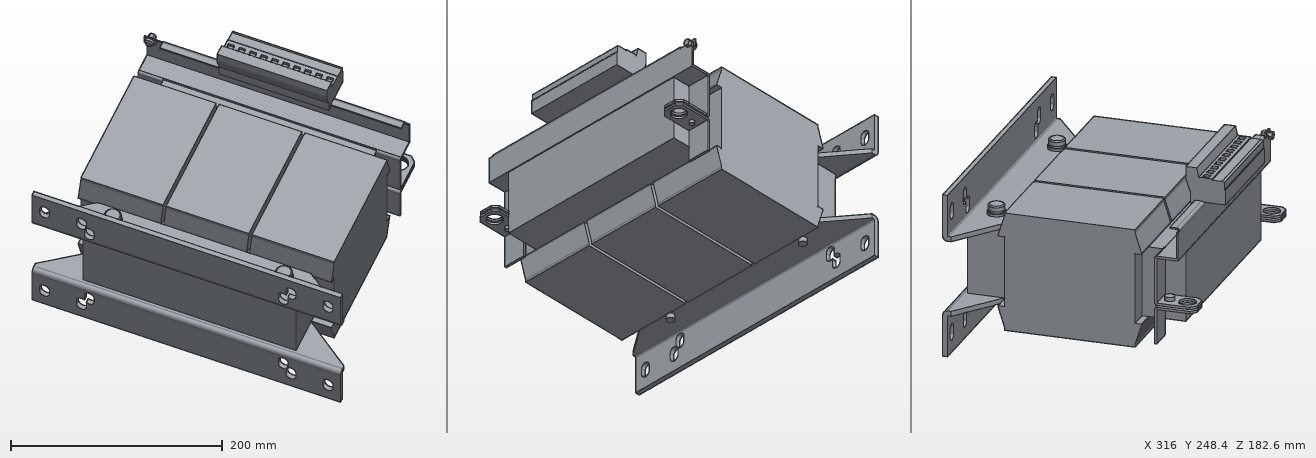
import cadquery as cq


CORE_WIDTH = 218.5
CORE_HEIGHT = 71.0
CORE_FRONT = 8.0
CORE_BACK = 226.5
CORE_TOP = CORE_HEIGHT / 2

WINDINGS_WIDTH = 259.4
WINDING_GAP = 3.2
CENTER_WINDING_WIDTH = 84.7
WINDING_HEIGHT = 119.7
WINDING_FRONT = 52.3
WINDING_BACK = 182.8
FLARE = 6.5
FLARE_EDGE = 1.2
FLARE_DROP = 2.8

BRACKET_LENGTH = 316.0
BRACKET_SPAN = 164.5
BRACKET_SHEET = 5.0
BRACKET_DEPTH = 44.8
BRACKET_TAPER_START = 8.6
BRACKET_OUTER_BEND = 5.0
BRACKET_INNER_BEND = 1.0
SLOT_WIDTH = 10.0
SLOT_LENGTH = 16.4
SLOT_CENTERS = [(145.1, 61.6), (107.2, 62.7), (99.4, 50.8)]

CLAMP_X = 87.6
CLAMP_Y = 29.8
CLAMP_WASHER_DIAMETER = 18.3
CLAMP_WASHER_HEIGHT = 2.4
CLAMP_LOCK_WASHER_DIAMETER = 15.8
CLAMP_LOCK_WASHER_HEIGHT = 2.0
CLAMP_HEAD_DIAMETER = 16.4
CLAMP_HEAD_HEIGHT = 5.6
CLAMP_HEAD_CHAMFER = 1.2
CLAMP_SHANK_DIAMETER = 8.5
CLAMP_SHANK_END = 46.0

REAR_SHEET = 2.4
REAR_LENGTH = 268.6
REAR_FRONT = 203.8
REAR_BEND = 3.0
RAIL_SHEET = 1.5
RAIL_BACK = 227.4
RAIL_TOP = 67.2
RAIL_OUTER_BEND = 3.0
BEND_CLEARANCE = 0.1
RAIL_FLANGE_FRONT = 217.8
RAIL_FLANGE_LEFT = -118.0
RAIL_FLANGE_RIGHT = 129.5
UPPER_EAR_TOP = -10.0
LOWER_EAR_TOP = -14.2
LOWER_TAB_BOTTOM = -51.7
EAR_BACK = 244.5
EAR_CHAMFER = 5.2
EAR_HOLE_DIAMETER = 16.6
EAR_HOLE_Y = 232.6

EAR_BOLT_Y = 215.0
EAR_BOLT_HEAD_DIAMETER = 10.0
EAR_BOLT_HEAD_HEIGHT = 4.0
EAR_BOLT_SHANK_DIAMETER = 5.6
EAR_BOLT_END = -19.7

EARTH_X = -130.4
EARTH_Z = 63.2
EARTH_NUT_ACROSS_CORNERS = 7.6
EARTH_NUT_BACK = 231.2
EARTH_CLAMP_WIDTH = 12.0
EARTH_CLAMP_HEIGHT = 8.0
EARTH_CLAMP_FRONT = 224.2
EARTH_HEAD_DIAMETER = 8.5
EARTH_HEAD_FRONT = 219.9
EARTH_HEAD_CHAMFER = 1.5

TERMINAL_LEFT = -55.2
TERMINAL_COUNT = 10
TERMINAL_PITCH = 11.26
TERMINAL_BACK = 248.4
TERMINAL_TOP = 100.3
TERMINAL_DECK = 91.0
TERMINAL_BACK_EDGE_Z = 89.0
TERMINAL_BACK_EDGE_Y = 244.9
TERMINAL_STEP_Y = 235.0
TERMINAL_STEP_Z = 89.8
TERMINAL_RIDGE_FOOT_Y = 221.6
TERMINAL_RIDGE_CREST_Y = 219.6
TERMINAL_FRONT_BOTTOM = 89.7
TERMINAL_KNEE_Y = 209.1
TERMINAL_KNEE_Z = 86.3
TERMINAL_LIP_TOP = 75.0
TERMINAL_BASE = 66.3
TERMINAL_LIP_BOTTOM = 63.8
TERMINAL_LIP_FRONT = 213.2
TERMINAL_FRONT = 208.6
TERMINAL_BACK_LEDGE_Y = 247.3
TERMINAL_BACK_LEDGE_Z = 81.5
TERMINAL_WINDOW_WIDTH = 6.2
TERMINAL_WINDOW_Y = 227.7
TERMINAL_WINDOW_LENGTH = 6.2
TERMINAL_WINDOW_DEPTH = 3.0


def box(x0, x1, y0, y1, z0, z1):
    return cq.Workplane("XY").box(x1 - x0, y1 - y0, z1 - z0, centered=False).translate((x0, y0, z0))


def extrude_along_x(points, x0, x1):
    """Extrude a (Y, Z) outline between two X positions."""
    return cq.Workplane("YZ").workplane(offset=x0).polyline(points).close().extrude(x1 - x0)


def vertical_cylinder(x, y, diameter, z0, z1):
    return cq.Workplane("XY").workplane(offset=z0).center(x, y).circle(diameter / 2).extrude(z1 - z0)


def mirrored_in_x(body):
    return body.union(body.mirror("YZ"))


def make_core():
    """Front and rear yokes; the legs run inside the windings."""
    half = CORE_WIDTH / 2
    front = box(-half, half, CORE_FRONT, WINDING_FRONT, -CORE_TOP, CORE_TOP)
    back = box(-half, half, WINDING_BACK, CORE_BACK, -CORE_TOP, CORE_TOP)
    return front.union(back)


def make_winding(x0, x1):
    """One winding: a block with flared ends that overlap the yokes above and below."""
    top = WINDING_HEIGHT / 2
    body = box(x0, x1, WINDING_FRONT, WINDING_BACK, -top, top)
    edge_top = CORE_TOP + FLARE_EDGE
    slope_top = top - FLARE_DROP
    cap = extrude_along_x(
        [
            (WINDING_FRONT, slope_top),
            (WINDING_FRONT - FLARE, edge_top),
            (WINDING_FRONT - FLARE, CORE_TOP),
            (WINDING_BACK + FLARE, CORE_TOP),
            (WINDING_BACK + FLARE, edge_top),
            (WINDING_BACK, slope_top),
        ],
        x0,
        x1,
    )
    return body.union(cap).union(cap.mirror("XY"))


def make_windings():
    center_half = CENTER_WINDING_WIDTH / 2
    outer = make_winding(center_half + WINDING_GAP, WINDINGS_WIDTH / 2)
    return make_winding(-center_half, center_half).union(mirrored_in_x(outer))


def make_upper_front_bracket():
    """Angle bracket: a slotted upright flange and a tapered plate on top of the core."""
    half = BRACKET_LENGTH / 2
    plate_top = CORE_TOP + BRACKET_SHEET
    angle = extrude_along_x(
        [
            (0, CORE_TOP),
            (BRACKET_DEPTH, CORE_TOP),
            (BRACKET_DEPTH, plate_top),
            (BRACKET_SHEET, plate_top),
            (BRACKET_SHEET, BRACKET_SPAN / 2),
            (0, BRACKET_SPAN / 2),
        ],
        -half,
        half,
    )
    angle = angle.edges(cq.selectors.NearestToPointSelector((0, 0, CORE_TOP))).fillet(BRACKET_OUTER_BEND)
    inner_corner = cq.selectors.NearestToPointSelector((0, BRACKET_SHEET, plate_top))
    angle = angle.edges(inner_corner).fillet(BRACKET_INNER_BEND)

    outline = [
        (-half, 0),
        (half, 0),
        (half, BRACKET_TAPER_START),
        (CORE_WIDTH / 2, BRACKET_DEPTH),
        (-CORE_WIDTH / 2, BRACKET_DEPTH),
        (-half, BRACKET_TAPER_START),
    ]
    envelope = cq.Workplane("XY").polyline(outline).close().extrude(BRACKET_SPAN)

    centers = [(side * x, z) for x, z in SLOT_CENTERS for side in (-1, 1)]
    slots = (
        cq.Workplane("XZ")
        .pushPoints(centers)
        .slot2D(SLOT_LENGTH, SLOT_WIDTH, 90)
        .extrude(-BRACKET_SHEET)
    )
    return angle.intersect(envelope).cut(slots)


def make_clamp_bolt():
    washer_bottom = CORE_TOP + BRACKET_SHEET
    lock_bottom = washer_bottom + CLAMP_WASHER_HEIGHT
    head_bottom = lock_bottom + CLAMP_LOCK_WASHER_HEIGHT
    head_top = head_bottom + CLAMP_HEAD_HEIGHT
    washer = vertical_cylinder(CLAMP_X, CLAMP_Y, CLAMP_WASHER_DIAMETER, washer_bottom, lock_bottom)
    lock = vertical_cylinder(CLAMP_X, CLAMP_Y, CLAMP_LOCK_WASHER_DIAMETER, lock_bottom, head_bottom)
    head = vertical_cylinder(CLAMP_X, CLAMP_Y, CLAMP_HEAD_DIAMETER, head_bottom, head_top)
    head = head.faces(">Z").chamfer(CLAMP_HEAD_CHAMFER)
    shank = vertical_cylinder(CLAMP_X, CLAMP_Y, CLAMP_SHANK_DIAMETER, -CLAMP_SHANK_END, washer_bottom)
    return washer.union(lock).union(head).union(shank)


def make_rail():
    """Strip across the core, turned up into the terminal rail with a flange at its top."""
    half = REAR_LENGTH / 2
    strip = box(-half, half, REAR_FRONT + REAR_SHEET, RAIL_BACK, CORE_TOP, CORE_TOP + REAR_SHEET)
    flange_bottom = RAIL_TOP - RAIL_SHEET
    bend_bottom = RAIL_TOP - RAIL_OUTER_BEND
    upright = box(-half, half, RAIL_BACK - RAIL_SHEET, RAIL_BACK, CORE_TOP, bend_bottom)
    flange = extrude_along_x(
        [
            (RAIL_FLANGE_FRONT, flange_bottom),
            (RAIL_BACK - RAIL_SHEET, flange_bottom),
            (RAIL_BACK - RAIL_SHEET, bend_bottom),
            (RAIL_BACK, bend_bottom),
            (RAIL_BACK, RAIL_TOP),
            (RAIL_FLANGE_FRONT, RAIL_TOP),
        ],
        RAIL_FLANGE_LEFT,
        RAIL_FLANGE_RIGHT,
    )
    outer_corner = cq.selectors.NearestToPointSelector((0, RAIL_BACK, RAIL_TOP))
    flange = flange.edges(outer_corner).fillet(RAIL_OUTER_BEND - BEND_CLEARANCE)
    inner_corner = cq.selectors.NearestToPointSelector((0, RAIL_BACK - RAIL_SHEET, flange_bottom))
    flange = flange.edges(inner_corner).fillet(RAIL_OUTER_BEND - RAIL_SHEET - BEND_CLEARANCE)
    return strip.union(upright).union(flange)


def make_ear(top):
    """Horizontal right-hand ear with a round hole and clipped corners."""
    x0 = CORE_WIDTH / 2
    x1 = REAR_LENGTH / 2
    ear = box(x0, x1, REAR_FRONT, EAR_BACK, top - REAR_SHEET, top)
    ear = ear.edges("|Z and >Y").chamfer(EAR_CHAMFER)
    hole = vertical_cylinder((x0 + x1) / 2, EAR_HOLE_Y, EAR_HOLE_DIAMETER, top - REAR_SHEET, top)
    return ear.cut(hole)


def make_rear_tabs():
    """Right-hand upper and lower tabs beside the core, each bent back into an ear."""
    x0 = CORE_WIDTH / 2
    x1 = REAR_LENGTH / 2
    tab_back = REAR_FRONT + REAR_SHEET
    strip_top = CORE_TOP + REAR_SHEET
    upper = box(x0, x1, REAR_FRONT, tab_back, UPPER_EAR_TOP - REAR_SHEET, strip_top)
    upper = upper.union(box(x0, x1, REAR_FRONT, RAIL_BACK, CORE_TOP, strip_top))
    upper = upper.union(make_ear(UPPER_EAR_TOP))
    upper = upper.edges("|X and <Y").fillet(REAR_BEND)
    lower = box(x0, x1, REAR_FRONT, tab_back, LOWER_TAB_BOTTOM, LOWER_EAR_TOP)
    lower = lower.union(make_ear(LOWER_EAR_TOP))
    lower = lower.edges("|X and <Y and >Z").fillet(REAR_BEND)
    return upper.union(lower)


def make_ear_bolt():
    x = (CORE_WIDTH + REAR_LENGTH) / 4
    head_top = UPPER_EAR_TOP + EAR_BOLT_HEAD_HEIGHT
    head = vertical_cylinder(x, EAR_BOLT_Y, EAR_BOLT_HEAD_DIAMETER, UPPER_EAR_TOP, head_top)
    shank = vertical_cylinder(x, EAR_BOLT_Y, EAR_BOLT_SHANK_DIAMETER, EAR_BOLT_END, UPPER_EAR_TOP)
    return head.union(shank)


def make_earth_screw():
    """Screw along Y through the rail: nut behind, clamp plate and chamfered head in front."""
    rail_front = RAIL_BACK - RAIL_SHEET
    nut = (
        cq.Workplane("XZ", origin=(EARTH_X, EARTH_NUT_BACK, EARTH_Z))
        .polygon(6, EARTH_NUT_ACROSS_CORNERS)
        .extrude(EARTH_NUT_BACK - rail_front)
    )
    half_width = EARTH_CLAMP_WIDTH / 2
    half_height = EARTH_CLAMP_HEIGHT / 2
    clamp = box(
        EARTH_X - half_width,
        EARTH_X + half_width,
        EARTH_CLAMP_FRONT,
        rail_front,
        EARTH_Z - half_height,
        EARTH_Z + half_height,
    )
    head = (
        cq.Workplane("XZ", origin=(EARTH_X, EARTH_CLAMP_FRONT, EARTH_Z))
        .circle(EARTH_HEAD_DIAMETER / 2)
        .extrude(EARTH_CLAMP_FRONT - EARTH_HEAD_FRONT)
        .faces("<Y")
        .chamfer(EARTH_HEAD_CHAMFER)
    )
    return nut.union(clamp).union(head)


def make_terminals():
    """Terminal strip of constant section with one window per terminal."""
    profile = [
        (TERMINAL_BACK, TERMINAL_BASE),
        (TERMINAL_BACK, TERMINAL_BACK_LEDGE_Z),
        (TERMINAL_BACK_LEDGE_Y, TERMINAL_BACK_LEDGE_Z),
        (TERMINAL_BACK_LEDGE_Y, TERMINAL_BACK_EDGE_Z),
        (TERMINAL_BACK_EDGE_Y, TERMINAL_STEP_Z),
        (TERMINAL_STEP_Y, TERMINAL_STEP_Z),
        (TERMINAL_STEP_Y, TERMINAL_DECK),
        (TERMINAL_RIDGE_FOOT_Y, TERMINAL_DECK),
        (TERMINAL_RIDGE_CREST_Y, TERMINAL_TOP),
        (TERMINAL_FRONT, TERMINAL_TOP),
        (TERMINAL_FRONT, TERMINAL_FRONT_BOTTOM),
        (TERMINAL_KNEE_Y, TERMINAL_KNEE_Z),
        (TERMINAL_LIP_FRONT, TERMINAL_LIP_TOP),
        (TERMINAL_LIP_FRONT, TERMINAL_LIP_BOTTOM),
        (RAIL_FLANGE_FRONT, TERMINAL_LIP_BOTTOM),
        (RAIL_FLANGE_FRONT, TERMINAL_BASE),
    ]
    right = TERMINAL_LEFT + TERMINAL_COUNT * TERMINAL_PITCH
    strip = extrude_along_x(profile, TERMINAL_LEFT, right)
    for index in range(TERMINAL_COUNT):
        x = TERMINAL_LEFT + (index + 0.5) * TERMINAL_PITCH
        window = box(
            x - TERMINAL_WINDOW_WIDTH / 2,
            x + TERMINAL_WINDOW_WIDTH / 2,
            TERMINAL_WINDOW_Y - TERMINAL_WINDOW_LENGTH / 2,
            TERMINAL_WINDOW_Y + TERMINAL_WINDOW_LENGTH / 2,
            TERMINAL_DECK - TERMINAL_WINDOW_DEPTH,
            TERMINAL_DECK,
        )
        strip = strip.cut(window)
    return strip


upper_front_bracket = make_upper_front_bracket()

result = (
    make_core()
    .union(make_windings())
    .union(upper_front_bracket)
    .union(upper_front_bracket.mirror("XY"))
    .union(mirrored_in_x(make_clamp_bolt()))
    .union(make_rail())
    .union(mirrored_in_x(make_rear_tabs()))
    .union(mirrored_in_x(make_ear_bolt()))
    .union(make_earth_screw())
    .union(make_terminals())
)